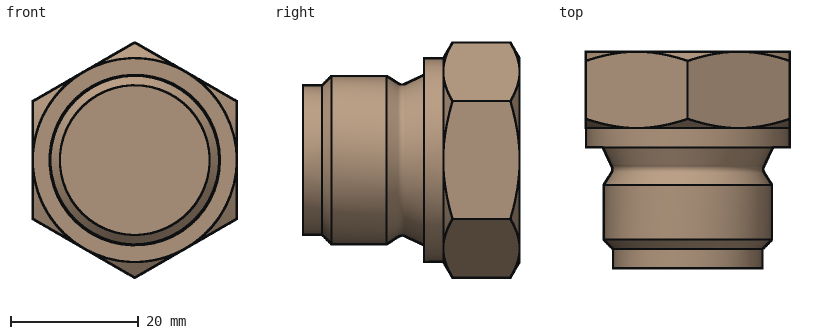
import cadquery as cq
import math

across_corners = 36.95
across_flats = across_corners * math.cos(math.radians(30))
head_length = 11.97
corner_chamfer_length = 1.45

collar_length = 3.03
undercut_top_diameter = 26.75
undercut_cone_length = 2.85
groove_edge_diameter = 24.1
groove_length = 1.2
groove_depth = 0.2
exit_cone_length = 1.85
body_diameter = 26.45
tip_diameter = 23.5
body_chamfer = (body_diameter - tip_diameter) / 2
tip_length = 3.03
total_length = 34.0

head_front = total_length - head_length
collar_front = head_front - collar_length
groove_back = collar_front - undercut_cone_length
groove_front = groove_back - groove_length
body_back = groove_front - exit_cone_length
body_front = tip_length + body_chamfer


def make_head():
    """Hexagonal prism whose corners are chamfered conically at both ends."""
    prism = (
        cq.Workplane("XZ", origin=(0, total_length, 0))
        .polygon(6, across_corners)
        .extrude(head_length)
        .rotate((0, 0, 0), (0, 1, 0), 30)
    )
    flat_radius = across_flats / 2
    corner_radius = across_corners / 2
    chamfer_envelope = (
        cq.Workplane("XY")
        .moveTo(0, head_front)
        .lineTo(flat_radius, head_front)
        .lineTo(corner_radius, head_front + corner_chamfer_length)
        .lineTo(corner_radius, total_length - corner_chamfer_length)
        .lineTo(flat_radius, total_length)
        .lineTo(0, total_length)
        .close()
        .revolve(360, (0, 0, 0), (0, 1, 0))
    )
    return prism.intersect(chamfer_envelope)


def make_shank():
    """Turned collar, undercut with a rounded groove, body and tip."""
    groove_radius = groove_edge_diameter / 2
    groove_middle = (groove_radius - groove_depth, (groove_back + groove_front) / 2)
    return (
        cq.Workplane("XY")
        .lineTo(tip_diameter / 2, 0)
        .lineTo(tip_diameter / 2, tip_length)
        .lineTo(body_diameter / 2, body_front)
        .lineTo(body_diameter / 2, body_back)
        .lineTo(groove_radius, groove_front)
        .threePointArc(groove_middle, (groove_radius, groove_back))
        .lineTo(undercut_top_diameter / 2, collar_front)
        .lineTo(across_flats / 2, collar_front)
        .lineTo(across_flats / 2, head_front)
        .lineTo(0, head_front)
        .close()
        .revolve(360, (0, 0, 0), (0, 1, 0))
    )


result = make_head().union(make_shank())